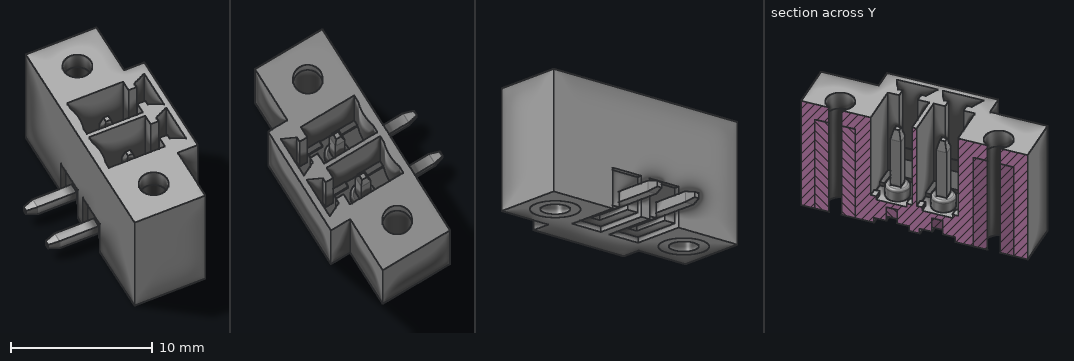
import cadquery as cq


housing_width = 17.3
housing_height = 9.2
housing_depth = 7.2
flange_depth = 5.6
tab_width = 8.5

mount_hole_diameter = 2.12
mount_hole_spacing = 12.1
mount_hole_places = [(side * mount_hole_spacing / 2, flange_depth / 2) for side in (-1, 1)]

sleeve_outer_diameter = 3.6
sleeve_top_depth = 1.4
sleeve_length = housing_height - sleeve_top_depth

contact_count = 2
contact_pitch = 3.5
contact_y = 3.0
contact_xs = [(i - (contact_count - 1) / 2) * contact_pitch for i in range(contact_count)]

pocket_width = 3.15
pocket_front = 0.62
pocket_back = 5.05
pocket_floor = 2.4
bump_chord = 2.07
bump_rise = 0.16

neck_width = 1.4
dovetail_narrow_width = 2.14
dovetail_front = 5.68
dovetail_back = 6.72
ledge_width = 0.05
ledge_height = 1.0

well_width = 2.3
well_back = 4.68
well_floor = 2.1
cross_slot_depth = 1.0

front_recess_width = 2.7
front_recess_height = 3.07
front_recess_depth = 0.4
relief_height = 0.42
relief_depth = contact_y + front_recess_width / 2

pin_size = 0.8
pin_axis_z = 1.2
pin_top = 7.9
pin_reach = 3.5
tip_length = 0.8
tip_size = 0.4
pin_back = contact_y + pin_size / 2
pin_bottom = pin_axis_z - pin_size / 2

collar_diameter = 1.8
collar_height = 1.0
collar_fillet = 0.2


def box(x_center, width, y_range, z_range):
    """Axis-aligned block centred on x_center."""
    y_min, y_max = y_range
    z_min, z_max = z_range
    block = cq.Workplane("XY").box(width, y_max - y_min, z_max - z_min, centered=(True, False, False))
    return block.translate((x_center, y_min, z_min))


def plug_pocket(x):
    """Pocket with a bowed front wall."""
    pocket_depth = housing_height - pocket_floor
    return (
        cq.Workplane("XY", origin=(x, 0, pocket_floor))
        .moveTo(-pocket_width / 2, pocket_front)
        .lineTo(-bump_chord / 2, pocket_front)
        .threePointArc((0, pocket_front + bump_rise), (bump_chord / 2, pocket_front))
        .lineTo(pocket_width / 2, pocket_front)
        .lineTo(pocket_width / 2, pocket_back)
        .lineTo(-pocket_width / 2, pocket_back)
        .close()
        .extrude(pocket_depth)
    )


def dovetail_groove(x):
    """Dovetail that widens toward the back, with a narrow ledge low on its back wall and a neck in front."""
    dovetail = (
        cq.Workplane("XY", origin=(x, 0, pocket_floor))
        .moveTo(-dovetail_narrow_width / 2, dovetail_front)
        .lineTo(dovetail_narrow_width / 2, dovetail_front)
        .lineTo(pocket_width / 2, dovetail_back)
        .lineTo(-pocket_width / 2, dovetail_back)
        .close()
        .extrude(housing_height - pocket_floor)
    )
    ledge_range = (dovetail_back - ledge_width, dovetail_back)
    ledge = box(x, pocket_width, ledge_range, (pocket_floor, pocket_floor + ledge_height))
    neck = box(x, neck_width, (pocket_back, dovetail_front), (pocket_floor, housing_height))
    return dovetail.cut(ledge).union(neck)


def floor_well(x):
    """Deeper floor around the contact, widened to the pocket sides by the cross slot."""
    heights = (well_floor, pocket_floor)
    bump_cut = plug_pocket(x).translate((0, 0, well_floor - pocket_floor))
    well = box(x, well_width, (pocket_front, well_back), heights)
    slot_range = (contact_y - cross_slot_depth / 2, contact_y + cross_slot_depth / 2)
    cross_slot = box(x, pocket_width, slot_range, heights)
    return well.union(cross_slot).intersect(bump_cut)


def pin_openings(x):
    """Front recess, underside relief, and the passage in which the pin sits."""
    recess = box(x, front_recess_width, (0, front_recess_depth), (0, front_recess_height))
    relief = box(x, front_recess_width, (0, relief_depth), (0, relief_height))
    slot = box(x, pin_size, (0, pin_back), (0, pin_axis_z + pin_size / 2))
    passage = box(x, pin_size, (contact_y - pin_size / 2, pin_back), (0, housing_height))
    return recess.union(relief).union(slot).union(passage)


def collar(x):
    """Round collar of the housing, standing on the well floor with a rounded top rim."""
    return (
        cq.Workplane("XY", origin=(x, contact_y, well_floor))
        .circle(collar_diameter / 2)
        .extrude(collar_height)
        .faces(">Z")
        .edges()
        .fillet(collar_fillet)
    )


def make_housing():
    flange = box(0, housing_width, (0, flange_depth), (0, housing_height))
    tab = box(0, tab_width, (0, housing_depth), (0, housing_height))
    mount_holes = (
        cq.Workplane("XY")
        .pushPoints(mount_hole_places)
        .circle(mount_hole_diameter / 2)
        .extrude(housing_height)
    )
    sleeve_seats = (
        cq.Workplane("XY")
        .pushPoints(mount_hole_places)
        .circle(sleeve_outer_diameter / 2)
        .extrude(sleeve_length)
    )
    body = flange.union(tab).cut(mount_holes).cut(sleeve_seats)
    for x in contact_xs:
        body = body.cut(plug_pocket(x)).cut(dovetail_groove(x)).cut(floor_well(x))
        body = body.union(collar(x)).cut(pin_openings(x))
    return body


def tapered_tip(plane):
    """Square taper that narrows along the normal of the plane."""
    return (
        cq.Workplane(plane)
        .rect(pin_size, pin_size)
        .workplane(offset=tip_length)
        .rect(tip_size, tip_size)
        .loft(ruled=True)
    )


def make_pin(x):
    """L-shaped pin with a horizontal leg to the front and an upright leg, both tapered at the end."""
    tail_y = tip_length - pin_reach
    post_z = pin_top - tip_length
    tail = box(x, pin_size, (tail_y, pin_back), (pin_bottom, pin_bottom + pin_size))
    post = box(x, pin_size, (contact_y - pin_size / 2, pin_back), (pin_bottom, post_z))
    tail_plane = cq.Plane(origin=(x, tail_y, pin_axis_z), xDir=(1, 0, 0), normal=(0, -1, 0))
    post_plane = cq.Plane(origin=(x, contact_y, post_z), xDir=(1, 0, 0), normal=(0, 0, 1))
    return tail.union(post).union(tapered_tip(tail_plane)).union(tapered_tip(post_plane))


def make_sleeve(x, y):
    """Plain sleeve whose bore continues the mounting hole."""
    return (
        cq.Workplane("XY", origin=(x, y, 0))
        .circle(sleeve_outer_diameter / 2)
        .circle(mount_hole_diameter / 2)
        .extrude(sleeve_length)
    )


housing = make_housing()
pins = [make_pin(x) for x in contact_xs]
sleeves = [make_sleeve(x, y) for x, y in mount_hole_places]

result = cq.Compound.makeCompound([body.val() for body in [housing, *pins, *sleeves]])